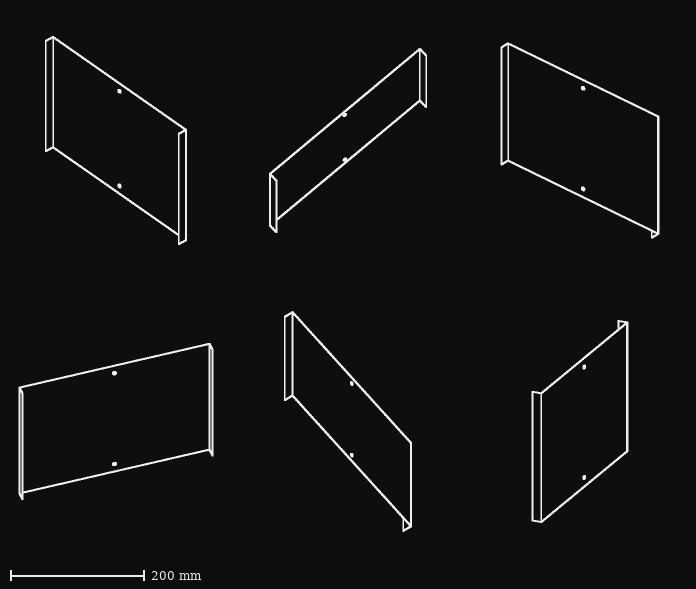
import cadquery as cq

width = 303.5
depth = 15.0
height = 210.0
sheet = 0.8

hole_diameter = 5.0
hole_edge_distance = 15.0

channel = cq.Workplane("XY").box(width, depth, height)
inner_width = width - 2 * sheet
recess = (
    cq.Workplane("XY")
    .box(inner_width, depth, height)
    .translate((0, -sheet, 0))
)
channel = channel.cut(recess)

hole_offset = height / 2 - hole_edge_distance
holes = (
    cq.Workplane("XZ")
    .pushPoints([(0, hole_offset), (0, -hole_offset)])
    .circle(hole_diameter / 2)
    .extrude(depth, both=True)
)

result = channel.cut(holes)